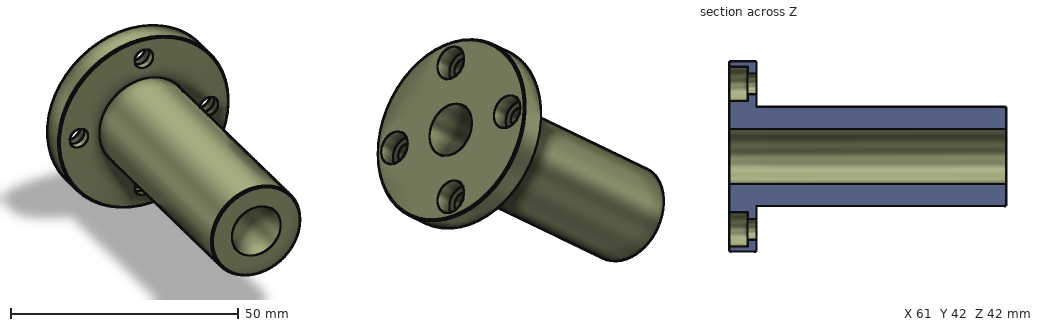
import cadquery as cq

total_length = 61.0
flange_diameter = 42.0
flange_thickness = 6.05
tube_diameter = 22.0
bore_diameter = 12.0
edge_chamfer = 0.3

hole_count = 4
hole_circle_diameter = 32.0
hole_diameter = 4.5
counterbore_diameter = 7.5
counterbore_depth = 4.1


def cylinder_along_x(diameter, start, length):
    return cq.Workplane("YZ", origin=(start, 0, 0)).circle(diameter / 2).extrude(length)


flange = cylinder_along_x(flange_diameter, 0, flange_thickness).edges().chamfer(edge_chamfer)

tube = cylinder_along_x(tube_diameter, 0, total_length).edges(">X").chamfer(edge_chamfer)

bore = cylinder_along_x(bore_diameter, 0, total_length)

body = flange.union(tube).cut(bore)

result = (
    body.faces("<X")
    .workplane(origin=(0, 0, 0))
    .polarArray(hole_circle_diameter / 2, 0, 360, hole_count)
    .cboreHole(hole_diameter, counterbore_diameter, counterbore_depth, flange_thickness)
)